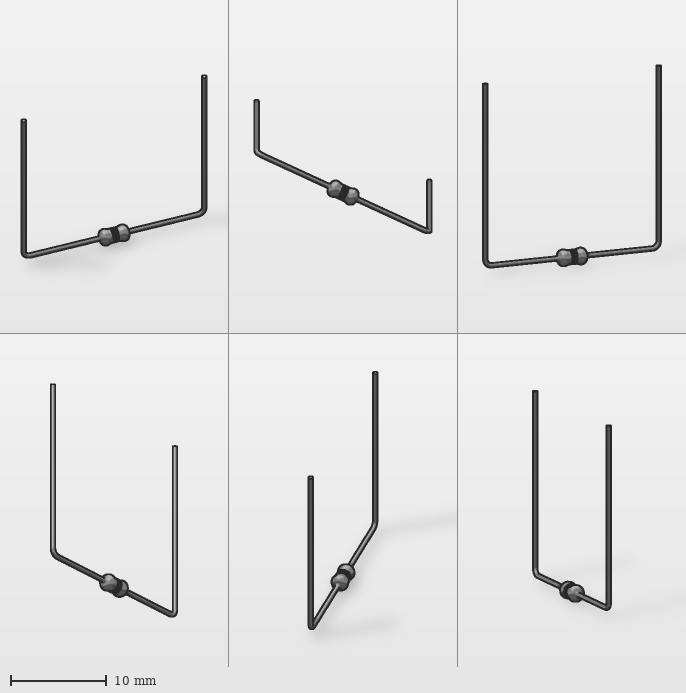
import cadquery as cq
import math


wire_diameter = 0.5
lead_pitch = 20.0
leg_top_z = 19.5
bend_radius = 0.75

body_diameter = 1.8
cap_spacing = 2.0
dome_radius = 0.6
wire_fillet = 0.17
shoulder_radius = 0.7
waist_diameter = 1.55
waist_length = 0.9

groove_count = 3
groove_diameter = 1.53


def make_wire():
    half_pitch = lead_pitch / 2
    bend_start = half_pitch - bend_radius
    bend_offset = bend_radius * (1 - math.sqrt(0.5))
    path = (
        cq.Workplane("YZ")
        .moveTo(-half_pitch, leg_top_z)
        .lineTo(-half_pitch, bend_radius)
        .threePointArc((-half_pitch + bend_offset, bend_offset), (-bend_start, 0))
        .lineTo(bend_start, 0)
        .threePointArc((half_pitch - bend_offset, bend_offset), (half_pitch, bend_radius))
        .lineTo(half_pitch, leg_top_z)
    )
    section = cq.Workplane("XY", origin=(0, -half_pitch, leg_top_z)).circle(wire_diameter / 2)
    return section.sweep(path)


def point_on_arc(center, radius, angle):
    return (center[0] + radius * math.cos(angle), center[1] + radius * math.sin(angle))


def make_half_body():
    """Half of the body on +Y; profile points are (radius, distance along Y)."""
    cap_peak = (body_diameter / 2, cap_spacing / 2)
    waist_end = (waist_diameter / 2, waist_length / 2)
    wire_radius = wire_diameter / 2

    drop = cap_peak[0] - waist_end[0]
    run = cap_peak[1] - waist_end[1]
    waist_fillet = (run**2 + drop**2) / (2 * drop) - shoulder_radius
    shoulder_center = (cap_peak[0] - shoulder_radius, cap_peak[1])
    waist_fillet_center = (waist_end[0] + waist_fillet, waist_end[1])
    shoulder_angle = -math.asin(run / (shoulder_radius + waist_fillet))
    waist_fillet_mid_angle = math.pi + shoulder_angle / 2

    dome_center = (cap_peak[0] - dome_radius, cap_peak[1])
    neck_r = wire_radius + wire_fillet
    neck_angle = math.acos((neck_r - dome_center[0]) / (dome_radius + wire_fillet))
    neck_center = point_on_arc(dome_center, dome_radius + wire_fillet, neck_angle)
    neck_mid_angle = math.pi + neck_angle / 2

    profile = (
        cq.Workplane("XY")
        .lineTo(waist_end[0], 0)
        .lineTo(*waist_end)
        .threePointArc(
            point_on_arc(waist_fillet_center, waist_fillet, waist_fillet_mid_angle),
            point_on_arc(shoulder_center, shoulder_radius, shoulder_angle),
        )
        .threePointArc(point_on_arc(shoulder_center, shoulder_radius, shoulder_angle / 2), cap_peak)
        .threePointArc(
            point_on_arc(dome_center, dome_radius, neck_angle / 2),
            point_on_arc(dome_center, dome_radius, neck_angle),
        )
        .threePointArc(
            point_on_arc(neck_center, wire_fillet, neck_mid_angle),
            (wire_radius, neck_center[1]),
        )
        .lineTo(0, neck_center[1])
        .close()
    )
    return profile.revolve(360, (0, 0, 0), (0, 1, 0))


def make_groove_ring(center_y, width):
    return (
        cq.Workplane("XZ", origin=(0, center_y + width / 2, 0))
        .circle(body_diameter / 2)
        .circle(groove_diameter / 2)
        .extrude(width)
    )


def cut_grooves(body):
    groove_width = waist_length / (2 * groove_count + 1)
    for index in range(groove_count):
        center_y = 2 * groove_width * (index - (groove_count - 1) / 2)
        body = body.cut(make_groove_ring(center_y, groove_width))
    return body


half_body = make_half_body()
body = half_body.union(half_body.mirror("XZ")).clean()
result = cut_grooves(body).union(make_wire())